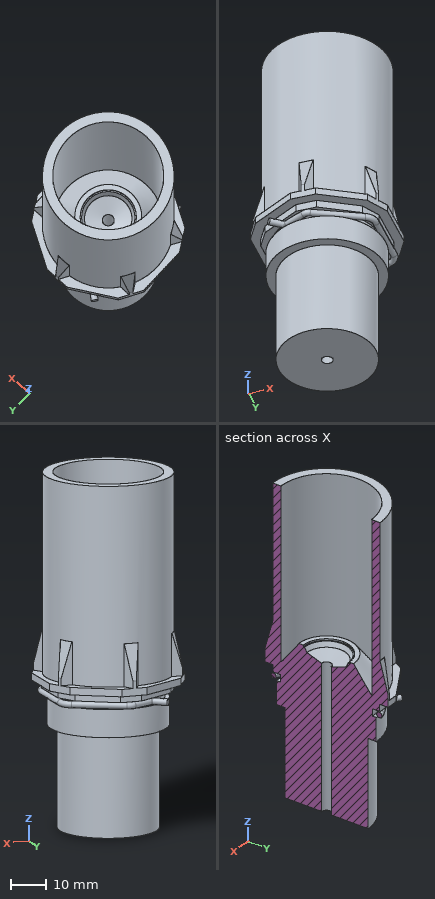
import cadquery as cq
import math

TOTAL_HEIGHT = 103.3
SOCKET_OUTER_R = 18.7
SOCKET_INNER_R = 15.7
COLLAR_DIAMETER = 34.8
COLLAR_R = COLLAR_DIAMETER / 2
SHANK_R = 14.6
GROOVE_FLOOR_R = 16.1
FLANGE_TOP_Z = 44.9
FLANGE_BOTTOM_Z = 42.8
GROOVE_TOP_Z = 40.4
GROOVE_BOTTOM_Z = 38.1
COLLAR_BOTTOM_Z = 30.0

HEXAGON_HALF_SECTOR = 30.0
FLANGE_WIDTH = 41.0
FLANGE_FLAT = FLANGE_WIDTH / 2
FLANGE_CORNER = 21.5
PLATE_FLAT = 17.7
PLATE_CORNER = 18.6

RIB_COUNT = 6
FIRST_RIB_ANGLE = 30.0
RIB_TOP_Z = 57.4
RIB_TIP_Z = 47.1
RIB_ROOT_WIDTH = 4.3
RIB_TIP_WIDTH = 1.0

FLOOR_Z = FLANGE_TOP_Z
SEAT_RIM_R = 9.5
SEAT_HEIGHT = 8.3
SEAT_RIM_Z = FLOOR_Z + SEAT_HEIGHT
FUNNEL_MOUTH_R = 8.0
FUNNEL_LEDGE_R = 7.5
FUNNEL_LEDGE_DEPTH = 0.5
FUNNEL_NECK_R = 6.7
FUNNEL_NECK_DEPTH = 2.1
FUNNEL_DEPTH = 3.8
DRAIN_R = 1.7

WIRE_R = 0.98
CLIP_Z = (GROOVE_TOP_Z + GROOVE_BOTTOM_Z) / 2
CLIP_BACK_X = 17.3
CLIP_PEAK_Y = 18.6
ARM_ANGLE = 26.0
ARM_END_X = -7.4
END_X = -11.4
END_ANGLE = 38.0
BACK_BEND_R = 3.7
PEAK_BEND_R = 2.2
END_BEND_R = 1.0


def cylinder(radius, bottom, top):
    return cq.Workplane("XY").workplane(offset=bottom).circle(radius).extrude(top - bottom)


def cut_corner_hexagon(flat, corner, bottom, top):
    """Hexagon with sides facing +X and every 60 degrees, its corners cut off."""
    def hexagon(apothem):
        diameter = 2 * apothem / math.cos(math.radians(HEXAGON_HALF_SECTOR))
        return cq.Workplane("XY").workplane(offset=bottom).polygon(6, diameter).extrude(top - bottom)
    sides = hexagon(flat).rotate((0, 0, 0), (0, 0, 1), HEXAGON_HALF_SECTOR)
    return sides.intersect(hexagon(corner))


def rib(angle):
    """Rib tapered in plan toward its tip, with a sloping top."""
    root = SOCKET_INNER_R
    surface = math.sqrt(SOCKET_OUTER_R**2 - (RIB_ROOT_WIDTH / 2)**2)
    plan = (
        cq.Workplane("XY").workplane(offset=FLANGE_BOTTOM_Z)
        .polyline([
            (root, -RIB_ROOT_WIDTH / 2),
            (surface, -RIB_ROOT_WIDTH / 2),
            (FLANGE_CORNER, -RIB_TIP_WIDTH / 2),
            (FLANGE_CORNER, RIB_TIP_WIDTH / 2),
            (surface, RIB_ROOT_WIDTH / 2),
            (root, RIB_ROOT_WIDTH / 2),
        ]).close().extrude(RIB_TOP_Z - FLANGE_BOTTOM_Z)
    )
    side = (
        cq.Workplane("XZ")
        .polyline([
            (root, FLANGE_BOTTOM_Z),
            (FLANGE_CORNER, FLANGE_BOTTOM_Z),
            (FLANGE_CORNER, RIB_TIP_Z),
            (SOCKET_OUTER_R, RIB_TOP_Z),
            (root, RIB_TOP_Z),
        ]).close().extrude(RIB_ROOT_WIDTH, both=True)
    )
    return plan.intersect(side).rotate((0, 0, 0), (0, 0, 1), angle)


def bore():
    """Everything removed around the axis: socket, raised seat, funnel and drain hole."""
    return (
        cq.Workplane("XZ")
        .moveTo(0, 0)
        .lineTo(DRAIN_R, 0)
        .lineTo(DRAIN_R, SEAT_RIM_Z - FUNNEL_DEPTH)
        .lineTo(FUNNEL_NECK_R, SEAT_RIM_Z - FUNNEL_NECK_DEPTH)
        .lineTo(FUNNEL_LEDGE_R, SEAT_RIM_Z - FUNNEL_LEDGE_DEPTH)
        .lineTo(FUNNEL_MOUTH_R, SEAT_RIM_Z - FUNNEL_LEDGE_DEPTH)
        .lineTo(FUNNEL_MOUTH_R, SEAT_RIM_Z)
        .lineTo(SEAT_RIM_R, SEAT_RIM_Z)
        .lineTo(SOCKET_INNER_R, FLOOR_Z)
        .lineTo(SOCKET_INNER_R, TOTAL_HEIGHT)
        .lineTo(0, TOTAL_HEIGHT)
        .close()
        .revolve(360, (0, 0, 0), (0, 1, 0))
    )


def rounded_path(corners, radii):
    """Wire through the corners, each inner corner rounded by its tangent arc."""
    points = [cq.Vector(x, y, CLIP_Z) for x, y in corners]
    edges = []
    start = points[0]
    for before, corner, after, radius in zip(points, points[1:], points[2:], radii):
        to_before = (before - corner).normalized()
        to_after = (after - corner).normalized()
        half_angle = to_before.getAngle(to_after) / 2
        bisector = (to_before + to_after).normalized()
        arc_start = corner + to_before * (radius / math.tan(half_angle))
        arc_end = corner + to_after * (radius / math.tan(half_angle))
        arc_middle = corner + bisector * (radius / math.sin(half_angle) - radius)
        edges.append(cq.Edge.makeLine(start, arc_start))
        edges.append(cq.Edge.makeThreePointArc(arc_start, arc_middle, arc_end))
        start = arc_end
    edges.append(cq.Edge.makeLine(start, points[-1]))
    return cq.Wire.assembleEdges(edges)


def spring_clip():
    arm_slope = math.tan(math.radians(ARM_ANGLE))
    arm_end_y = CLIP_PEAK_Y + ARM_END_X * arm_slope
    end_y = arm_end_y + (ARM_END_X - END_X) * math.tan(math.radians(END_ANGLE))
    left_arm = [
        (END_X, end_y),
        (ARM_END_X, arm_end_y),
        (0, CLIP_PEAK_Y),
        (CLIP_BACK_X, CLIP_PEAK_Y - CLIP_BACK_X * arm_slope),
    ]
    right_arm = [(x, -y) for x, y in reversed(left_arm)]
    arm_radii = [END_BEND_R, PEAK_BEND_R, BACK_BEND_R]
    path = rounded_path(left_arm + right_arm, arm_radii + arm_radii[::-1])
    section_plane = cq.Plane(path.startPoint(), (0, 0, 1), path.tangentAt(0))
    return cq.Workplane(section_plane).circle(WIRE_R).sweep(cq.Workplane(obj=path))


def make_housing(clip):
    body = (
        cylinder(SHANK_R, 0, COLLAR_BOTTOM_Z)
        .union(cylinder(COLLAR_R, COLLAR_BOTTOM_Z, GROOVE_BOTTOM_Z))
        .union(cylinder(GROOVE_FLOOR_R, GROOVE_BOTTOM_Z, GROOVE_TOP_Z))
        .union(cut_corner_hexagon(PLATE_FLAT, PLATE_CORNER, GROOVE_TOP_Z, FLANGE_BOTTOM_Z))
        .union(cut_corner_hexagon(FLANGE_FLAT, FLANGE_CORNER, FLANGE_BOTTOM_Z, FLANGE_TOP_Z))
        .union(cylinder(SOCKET_OUTER_R, FLANGE_TOP_Z, TOTAL_HEIGHT))
    )
    for index in range(RIB_COUNT):
        body = body.union(rib(FIRST_RIB_ANGLE + index * 360 / RIB_COUNT))
    return body.cut(bore()).cut(clip)


clip = spring_clip()
housing = make_housing(clip)

result = cq.Compound.makeCompound([housing.val(), clip.val()])